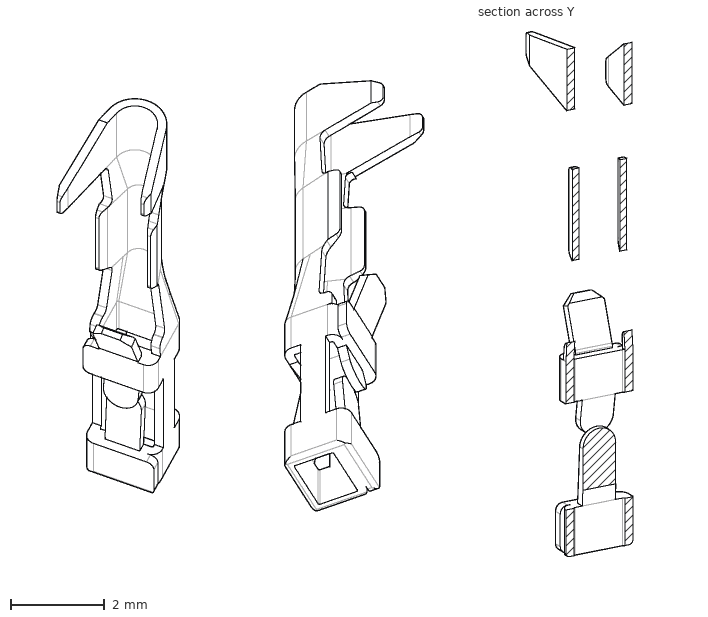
import cadquery as cq
import math

total_length = 11.55
sheet = 0.21
barrel_sheet = 0.2

base_top = 1.09
collar_bottom = 3.49
collar_top = 4.46
wire_bottom = 6.57
wire_top = 8.8
insulation_bottom = 10.01

box_width = 1.65
box_half = box_width / 2
box_depth = 1.55
fold_radius = 0.24
inner_wall_depth = box_depth - sheet
free_end_radius = 0.17
base_rounding = 0.1
strip_back = 0.46
strip_front = 1.05

insulation_radius = 0.68
insulation_spread = 13.3
insulation_bevel = 2.24
insulation_depth = 2.5
wire_radius = 0.5
wire_spread = 16.5
wire_bevel = 1.04
wire_depth = 1.3
outer_bevel = 0.12
inner_bevel = 0.01
neck_depth = 0.88
neck_shoulder = 0.55
neck_fillet = 0.14

ear_depth = 1.2
ear_top = 4.9
ear_rounding = 0.17
ear_fillet = 0.14
wire_slope_fillet = 0.28
wire_slope_top = 6.84
wire_slope_rounding = 0.18
wire_corner = 0.12

wing_slope_start = 0.89
wing_slope_end = 10.56
wing_slope_rounding = 0.15
wing_corner = 0.12

tongue_half = 0.4
back_kink_z = 2.8
back_kink_depth = 0.32
upper_tongue_end = 2.6
upper_tongue_rise = 0.15
lower_tongue_end = 2.8
lower_tongue_drop = 0.12
tab_half = 0.45
tab_root = 0.03
tab_length = 1.19
tab_angle = 20.0
tab_corner = 0.23
tab_bevel_length = 0.18
tab_tip_thickness = 0.14


def point(x, depth, z):
    return cq.Vector(x, -depth, z)


def slab(z_low, z_high, x_low, x_high, depth_low, depth_high):
    """Block between the given Z, X and depth limits."""
    size = (x_high - x_low, depth_high - depth_low, z_high - z_low)
    return cq.Workplane("XY").box(*size, centered=False).translate((x_low, -depth_high, z_low))


def side_plate(points, x_low, x_high):
    """Extrude an outline of (depth, z) points along X."""
    outline = [(-depth, z) for depth, z in points]
    plate = cq.Workplane("YZ").polyline(outline).close().extrude(x_high - x_low)
    return plate.translate((x_low, 0, 0))


def round_corner(plate, depth, z, radius):
    """Round the corner of a side plate that lies nearest to (depth, z)."""
    nearest = cq.selectors.NearestToPointSelector((0, -depth, z))
    return plate.edges("|X").edges(nearest).fillet(radius)


def barrel_half(radius, spread, foot_depth, inset, shoulder_depth=None):
    """Half of one face of a barrel, from foot to crown; inset is 0 outside and the wall inside."""
    angle = math.radians(spread)
    arc_x = (radius - inset) * math.cos(angle)
    arc_depth = radius - (radius - inset) * math.sin(angle)

    def on_leg(depth):
        return (arc_x + (depth - arc_depth) * math.tan(angle), depth)

    half = [on_leg(foot_depth)]
    if shoulder_depth is not None:
        half.append(on_leg(shoulder_depth))
    half.append((arc_x, arc_depth))
    return {"points": half, "crown": inset, "corner": None}


def box_half_section(foot_depth, inset):
    """Half of one face of the open box section, from foot to the flat back."""
    wall_x = box_half - inset
    flat_x = box_half - fold_radius
    diagonal = (fold_radius - inset) * math.sqrt(0.5)
    corner = (flat_x + diagonal, fold_radius - diagonal)
    half = [(wall_x, foot_depth), (wall_x, fold_radius), (flat_x, inset)]
    return {"points": half, "crown": None, "corner": corner}


def face_edges(face, z):
    """Edges of one U-shaped face, from the +X foot over the back to the -X foot."""
    right = [point(x, depth, z) for x, depth in face["points"]]
    left = [point(-x, depth, z) for x, depth in face["points"]]
    edges = [cq.Edge.makeLine(a, b) for a, b in zip(right, right[1:])]
    edges_back = [cq.Edge.makeLine(b, a) for a, b in zip(left, left[1:])]
    if face["corner"] is not None:
        x, depth = face["corner"]
        edges[-1] = cq.Edge.makeThreePointArc(right[-2], point(x, depth, z), right[-1])
        edges_back[-1] = cq.Edge.makeThreePointArc(left[-1], point(-x, depth, z), left[-2])
    if face["crown"] is None:
        back = cq.Edge.makeLine(right[-1], left[-1])
    else:
        back = cq.Edge.makeThreePointArc(right[-1], point(0, face["crown"], z), left[-1])
    return edges + [back] + edges_back[::-1], right[0], left[0]


def u_wire(outer, inner, z):
    """Closed wire of a U-shaped sheet section."""
    outer_edges, outer_right, outer_left = face_edges(outer, z)
    inner_edges, inner_right, inner_left = face_edges(inner, z)
    foot_edges = [cq.Edge.makeLine(outer_left, inner_left), cq.Edge.makeLine(inner_right, outer_right)]
    return cq.Wire.assembleEdges(outer_edges + foot_edges[:1] + inner_edges[::-1] + foot_edges[1:])


def barrel_wire(radius, spread, foot_depth, z, shoulder_depth=None):
    outer = barrel_half(radius, spread, foot_depth, 0, shoulder_depth)
    inner = barrel_half(radius, spread, foot_depth, barrel_sheet, shoulder_depth)
    return u_wire(outer, inner, z)


def box_wire(foot_depth, z):
    return u_wire(box_half_section(foot_depth, 0), box_half_section(foot_depth, sheet), z)


def u_loft(low_wire, high_wire):
    return cq.Workplane(cq.Solid.makeLoft([low_wire, high_wire], True))


def barrel(radius, spread, bevel_depth, foot_depth, z_low, z_high):
    """Straight barrel whose leg tips are beveled on both faces."""
    body = u_loft(
        barrel_wire(radius, spread, foot_depth, z_low),
        barrel_wire(radius, spread, foot_depth, z_high),
    )
    for inset, bevel, side in ((0, outer_bevel, 1), (barrel_sheet, inner_bevel, -1)):
        start_x = barrel_half(radius, spread, bevel_depth, inset)["points"][0][0]
        tip_x = barrel_half(radius, spread, foot_depth, inset)["points"][0][0] - side * bevel
        beyond = start_x + 2 * side * sheet
        outline = [
            (start_x, -bevel_depth),
            (tip_x, -foot_depth),
            (beyond, -foot_depth),
            (beyond, -bevel_depth),
        ]
        cutter = cq.Workplane("XY").workplane(offset=z_low).polyline(outline).close().extrude(z_high - z_low)
        body = body.cut(cutter).cut(cutter.mirror("YZ"))
    return body


def insulation_barrel():
    """Barrel with two wings; each slopes the opposite way, so they pass each other when crimped."""
    body = barrel(
        insulation_radius,
        insulation_spread,
        insulation_bevel,
        insulation_depth,
        insulation_bottom,
        total_length,
    )
    outline = [
        (0, insulation_bottom),
        (insulation_depth, insulation_bottom),
        (insulation_depth, wing_slope_end),
        (wing_slope_start, total_length),
        (0, total_length),
    ]
    wing = side_plate(outline, -insulation_depth, 0)
    wing = round_corner(wing, insulation_depth, insulation_bottom, wing_corner)
    wing = round_corner(wing, insulation_depth, wing_slope_end, wing_slope_rounding)
    middle = (0, 0, (insulation_bottom + total_length) / 2)
    opposite_wing = wing.rotate(middle, (0, -1, middle[2]), 180)
    return body.intersect(wing).union(body.intersect(opposite_wing))


def side_trim():
    """Side outline shared by the lower neck and the wire barrel."""
    outline = [
        (0, collar_top),
        (ear_depth, collar_top),
        (ear_depth, ear_top),
        (neck_depth, ear_top),
        (neck_depth, wire_bottom),
        (wire_depth, wire_slope_top),
        (wire_depth, wire_top),
        (0, wire_top),
    ]
    trim = side_plate(outline, -box_half, box_half)
    trim = round_corner(trim, ear_depth, ear_top, ear_rounding)
    trim = round_corner(trim, neck_depth, ear_top, ear_fillet)
    trim = round_corner(trim, neck_depth, wire_bottom, wire_slope_fillet)
    trim = round_corner(trim, wire_depth, wire_slope_top, wire_slope_rounding)
    return round_corner(trim, wire_depth, wire_top, wire_corner)


def wire_barrel():
    return barrel(wire_radius, wire_spread, wire_bevel, wire_depth, wire_bottom, wire_top)


def upper_neck():
    """Transition between the two barrels, with rounded ends on its edges."""
    foot = neck_depth + neck_fillet
    body = u_loft(
        barrel_wire(wire_radius, wire_spread, foot, wire_top),
        barrel_wire(insulation_radius, insulation_spread, foot, insulation_bottom),
    )
    notch = slab(wire_top, insulation_bottom, -box_half, box_half, neck_depth, foot + sheet)
    return body.cut(notch.edges("|X and >Y").fillet(neck_fillet))


def lower_neck():
    """Transition from the collar to the wire barrel, with an ear on each side above the collar."""
    return u_loft(
        box_wire(ear_depth, collar_top),
        barrel_wire(wire_radius, wire_spread, ear_depth, wire_bottom, neck_shoulder),
    )


def rounded_tube(depth, height):
    """Rectangular sheet tube with folded corners."""
    outer = slab(0, height, -box_half, box_half, 0, depth).edges("|Z").fillet(fold_radius)
    inner = slab(0, height, sheet - box_half, box_half - sheet, sheet, depth - sheet)
    return outer.cut(inner.edges("|Z").fillet(fold_radius - sheet))


def folded_box(height):
    """Box with a double front: the -X wall folds into the inner layer, the +X wall into the outer one."""
    inner_tube = rounded_tube(inner_wall_depth, height)
    outer_tube = rounded_tube(box_depth, height)
    inner_part = inner_tube.intersect(slab(0, height, -box_half, box_half - sheet, 0, inner_wall_depth))
    outer_part = outer_tube.intersect(slab(0, height, 0, box_half, 0, box_depth))
    flap = slab(0, height, -box_half, 0, inner_wall_depth, box_depth)
    flap = flap.edges("|Y and <X").fillet(free_end_radius)
    return inner_part.union(outer_part).union(flap)


def collar():
    return folded_box(collar_top - collar_bottom).translate((0, 0, collar_bottom))


def base():
    """Box folded the opposite way to the collar, with its bottom edge rounded."""
    envelope = slab(0, base_top, -box_half, box_half, 0, box_depth).faces("<Z").edges().fillet(base_rounding)
    return folded_box(base_top).mirror("YZ").intersect(envelope)


def side_strips():
    strip = slab(base_top, collar_bottom, box_half - sheet, box_half, strip_back, strip_front)
    return strip.union(strip.mirror("YZ"))


def back_spring():
    """Strip joining base and collar at the back, kinked inward."""
    outer = [(0, base_top), (back_kink_depth, back_kink_z), (0, collar_bottom)]
    inner = [(depth + sheet, z) for depth, z in reversed(outer)]
    return side_plate(outer + inner, -tongue_half, tongue_half)


def tongue(root_z, end_z, front_shift):
    """Front spring with a round end, leaving an inner front layer at root_z."""
    root_back = inner_wall_depth - sheet
    end_back = root_back + front_shift
    outline = [
        (root_back, root_z),
        (inner_wall_depth, root_z),
        (end_back + sheet, end_z),
        (end_back, end_z),
    ]
    plate = side_plate(outline, -tongue_half, tongue_half)
    center_z = end_z + math.copysign(tongue_half, root_z - end_z)
    disc = cq.Workplane("XZ").center(0, center_z).circle(tongue_half).extrude(box_depth + sheet)
    z_low, z_high = sorted((root_z, center_z))
    shank = slab(z_low, z_high, -tongue_half, tongue_half, 0, box_depth + sheet)
    return plate.intersect(disc.union(shank))


def stop_tab():
    """Tab leaning forward from the outer front layer of the collar, thinned at the tip."""
    bevel_start = tab_length - tab_bevel_length
    profile = [(0, 0), (0, tab_length), (-tab_tip_thickness, tab_length), (-sheet, bevel_start), (-sheet, 0)]
    tab = side_plate(profile, -tab_half, tab_half)
    clip = slab(0, tab_length, -tab_half, tab_half, -sheet, 0)
    tab = tab.intersect(clip.edges("|Y and >Z").chamfer(tab_corner))
    lean = math.radians(tab_angle)
    bend = [(0, 0), (-sheet, 0), (-sheet * math.cos(lean), sheet * math.sin(lean))]
    tab = tab.rotate((0, 0, 0), (1, 0, 0), tab_angle).union(side_plate(bend, -tab_half, tab_half))
    root = slab(-tab_root, 0, -tab_half, tab_half, -sheet, 0)
    return tab.union(root).translate((0, -box_depth, collar_top + tab_root))


features = [
    collar(),
    side_strips(),
    back_spring(),
    tongue(collar_bottom, upper_tongue_end, upper_tongue_rise),
    tongue(base_top, lower_tongue_end, -lower_tongue_drop),
    stop_tab(),
    lower_neck().union(wire_barrel()).intersect(side_trim()),
    upper_neck(),
    insulation_barrel(),
]

result = base()
for feature in features:
    result = result.union(feature)